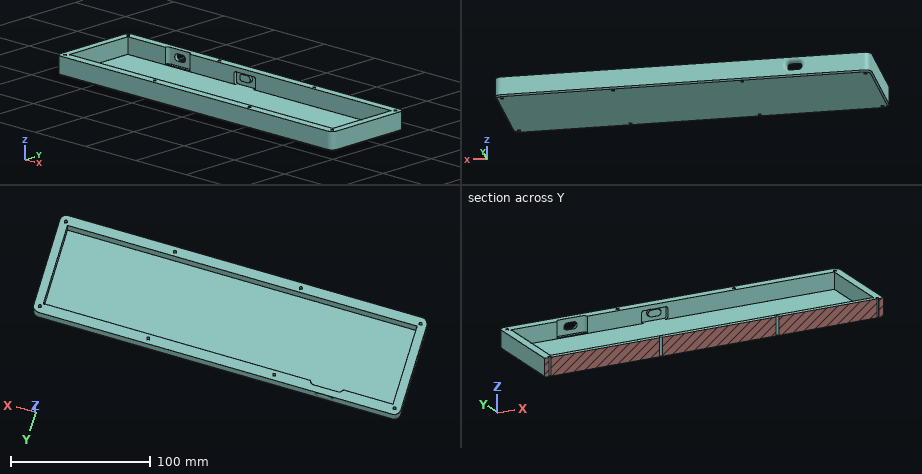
import cadquery as cq
import math

length = 275.2
width = 75.0
height = 14.9
corner_radius = 5.0
bottom_chamfer = 1.0

cavity_length = 262.0
cavity_width = 60.5
floor_thickness = 1.7

screw_diameter = 2.0
corner_screw_x = 133.0
corner_screw_y = 32.7
middle_screw_x = (-43.0, 51.5)
middle_screw_y = 33.5

connector_x = -81.5
relief_length = 24.5
relief_depth = 2.5
relief_end_radius = 3.3
relief_step = 0.7
slot_z = 1.25
slot_length = 10.5
slot_height = 5.2
slot_mouth_radius = 3.0
mouth_margin = 0.15


button_x = -14.5
pocket_length = 21.2
pocket_depth = 2.5
pocket_top_z = 3.9
pocket_corner_radius = 1.7
pad_length = 10.5
pad_height = 5.2
pad_z = 0.5
pad_thickness = 2.2

top_z = height / 2
floor_z = floor_thickness - top_z
back_wall_y = cavity_width / 2
pocket_y = back_wall_y + pocket_depth


def make_tray():
    body = cq.Workplane("XY").box(length, width, height)
    body = body.edges("|Z").fillet(corner_radius)
    body = body.faces("<Z").chamfer(bottom_chamfer)
    cavity = (
        cq.Workplane("XY", origin=(0, 0, floor_z))
        .rect(cavity_length, cavity_width)
        .extrude(top_z - floor_z)
    )
    return body.cut(cavity)


def make_screw_holes():
    points = [(x, y) for x in (-corner_screw_x, corner_screw_x) for y in (-corner_screw_y, corner_screw_y)]
    points += [(x, y) for x in middle_screw_x for y in (-middle_screw_y, middle_screw_y)]
    return (
        cq.Workplane("XY", origin=(0, 0, -top_z))
        .pushPoints(points)
        .circle(screw_diameter / 2)
        .extrude(height)
    )


def make_relief():
    """Shallow relief, open at the top, whose ends sweep back to the cavity wall in arcs."""
    half_length = relief_length / 2
    end_angle = math.acos(1 - relief_depth / relief_end_radius)
    half_flat = half_length - relief_end_radius * math.sin(end_angle)
    mid_x = half_flat + relief_end_radius * math.sin(end_angle / 2)
    mid_y = relief_depth - relief_end_radius * (1 - math.cos(end_angle / 2))
    bottom_z = floor_z + relief_step
    return (
        cq.Workplane("XY", origin=(connector_x, back_wall_y, bottom_z))
        .moveTo(-half_length, 0)
        .threePointArc((-mid_x, mid_y), (-half_flat, relief_depth))
        .lineTo(half_flat, relief_depth)
        .threePointArc((mid_x, mid_y), (half_length, 0))
        .close()
        .extrude(top_z - bottom_z)
    )


def make_obround(x, z, back_y, obround_length, obround_height, depth):
    """Obround bar running from back_y toward the front of the tray."""
    return (
        cq.Workplane("XZ", origin=(x, back_y, z))
        .slot2D(obround_length, obround_height)
        .extrude(depth)
    )


def cut_connector_slot(tray):
    """Cut the slot through the back wall and round its outer mouth."""
    outer_y = width / 2
    slot = make_obround(connector_x, slot_z, outer_y, slot_length, slot_height, outer_y - back_wall_y)
    mouth_edges = cq.selectors.BoxSelector(
        (connector_x - slot_length, outer_y - mouth_margin, slot_z - slot_height),
        (connector_x + slot_length, outer_y + mouth_margin, slot_z + slot_height),
    )
    return tray.cut(slot).edges(mouth_edges).fillet(slot_mouth_radius)


def make_button_pocket():
    pocket_height = pocket_top_z - floor_z
    pocket = (
        cq.Workplane("XZ", origin=(button_x, pocket_y, floor_z + pocket_height / 2))
        .rect(pocket_length, pocket_height)
        .extrude(pocket_depth)
        .edges("|Y")
        .fillet(pocket_corner_radius)
    )
    pad = make_obround(button_x, pad_z, pocket_y, pad_length, pad_height, pad_thickness)
    return pocket.cut(pad)


tray = make_tray().cut(make_screw_holes()).cut(make_relief()).cut(make_button_pocket())
result = cut_connector_slot(tray)